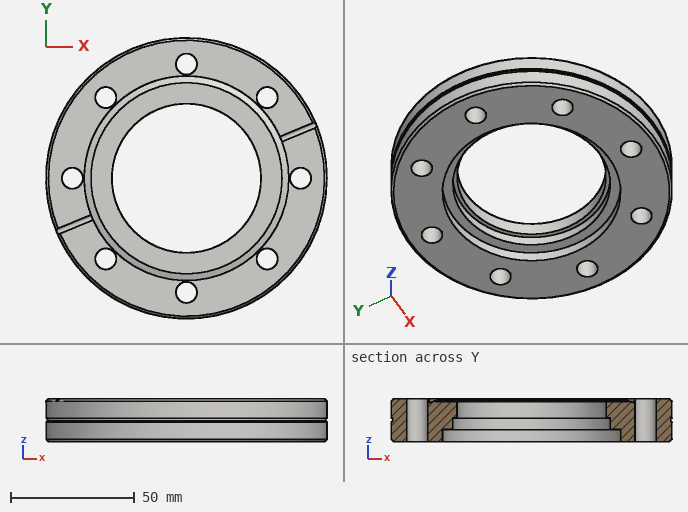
import cadquery as cq
import math

outer_radius = 56.8
thickness = 17.5
edge_chamfer = 1.0

bore_radius = 30.1
socket_radius = 31.8
socket_top_depth = 7.8
relief_radius = 36.0
relief_height = 5.0

recess_radius = 41.3
knife_radius = 38.6
knife_depth = 0.7
trough_depth = 1.6
floor_depth = 1.2

rim_groove_depth = 0.5
rim_groove_top = 9.6
rim_groove_slope_top = 8.6
rim_groove_bottom = 8.0

bolt_count = 8
bolt_circle_radius = 46.1
bolt_hole_diameter = 8.4

channel_radius = 1.1
channel_depth = 1.0
channel_angle = 180.0 / bolt_count


def flange_body():
    """Revolve the half section, with X as radius and Y as height."""
    rim_groove_radius = outer_radius - rim_groove_depth
    section = [
        (relief_radius, 0),
        (outer_radius - edge_chamfer, 0),
        (outer_radius, edge_chamfer),
        (outer_radius, rim_groove_bottom),
        (rim_groove_radius, rim_groove_slope_top),
        (rim_groove_radius, rim_groove_top),
        (outer_radius, rim_groove_top),
        (outer_radius, thickness - edge_chamfer),
        (outer_radius - edge_chamfer, thickness),
        (recess_radius, thickness),
        (recess_radius, thickness - trough_depth),
        (knife_radius, thickness - knife_depth),
        (knife_radius, thickness - floor_depth),
        (bore_radius, thickness - floor_depth),
        (bore_radius, thickness - socket_top_depth),
        (socket_radius, thickness - socket_top_depth),
        (socket_radius, relief_height),
        (relief_radius, relief_height),
    ]
    return cq.Workplane("XZ").polyline(section).close().revolve(360, (0, 0, 0), (0, 1, 0))


def bolt_holes():
    return (
        cq.Workplane("XY")
        .polarArray(bolt_circle_radius, 0, 360, bolt_count)
        .circle(bolt_hole_diameter / 2)
        .extrude(thickness)
    )


def leak_channel(angle):
    """Radial channel from the recess wall out through the rim."""
    start_radius = (knife_radius + recess_radius) / 2
    direction = cq.Vector(math.cos(math.radians(angle)), math.sin(math.radians(angle)), 0)
    start = direction * start_radius + cq.Vector(0, 0, thickness - channel_depth + channel_radius)
    length = outer_radius - start_radius + channel_radius
    return cq.Solid.makeCylinder(channel_radius, length, start, direction)


result = flange_body().cut(bolt_holes())
for angle in (channel_angle, channel_angle + 180):
    result = result.cut(cq.Workplane(obj=leak_channel(angle)))